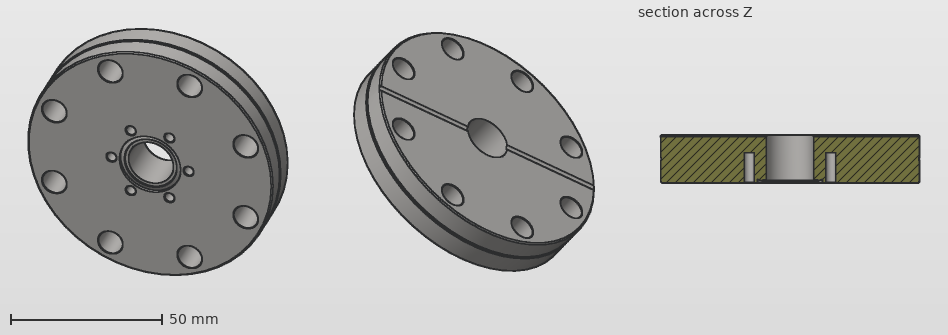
import cadquery as cq
import math

flange_diameter = 85.7
thickness = 16.0
front_y = -thickness / 2
back_y = thickness / 2
rim_chamfer = 0.5

rim_groove_width = 0.8
rim_groove_depth = 0.2

bore_diameter = 15.7
recess_diameter = 21.4
knife_diameter = 18.4
knife_root_diameter = 18.0
knife_tip_depth = 0.65
recess_floor_depth = 1.0
knife_slope = math.radians(20)

bolt_count = 8
bolt_circle = 72.4
bolt_hole_diameter = 8.4
bolt_chamfer = 0.2
bolt_start_angle = 360 / bolt_count / 2

tap_count = 6
tap_circle = 27.0
tap_hole_diameter = 3.24
tap_depth = 10.0
tap_chamfer = 0.25

leak_groove_width = 2.0
leak_groove_depth = 0.6

cut_margin = 1.0


def revolve_profile(points):
    """Revolve a closed (radius, y) outline about the Y axis."""
    return cq.Workplane("XY").polyline(points).close().revolve(360, (0, 0, 0), (0, 1, 0))


def flange_disc():
    radius = flange_diameter / 2
    disc = cq.Workplane("XZ", origin=(0, back_y, 0)).circle(radius).extrude(thickness)
    return disc.faces("<Y or >Y").edges().chamfer(rim_chamfer)


def rim_groove():
    rim = flange_diameter / 2
    floor = rim - rim_groove_depth
    half_width = rim_groove_width / 2
    return revolve_profile(
        [
            (rim, -half_width),
            (floor, -half_width),
            (floor, half_width),
            (rim, half_width),
        ]
    )


def bore_and_seal_recess():
    bore = bore_diameter / 2
    wall = recess_diameter / 2
    knife = knife_diameter / 2
    floor_y = front_y + recess_floor_depth
    tip_y = front_y + knife_tip_depth
    slope_end_y = tip_y + (wall - knife) * math.tan(knife_slope)
    return revolve_profile(
        [
            (0, front_y - cut_margin),
            (wall, front_y - cut_margin),
            (wall, slope_end_y),
            (knife, tip_y),
            (knife_root_diameter / 2, floor_y),
            (bore, floor_y),
            (bore, back_y + cut_margin),
            (0, back_y + cut_margin),
        ]
    )


def place_on_circle(cutter, count, circle_diameter, start_angle):
    """Union of copies of a cutter lying on the Y axis, spread around a circle."""
    copies = cq.Workplane("XY")
    for index in range(count):
        angle = start_angle + index * 360 / count
        moved = cutter.translate((circle_diameter / 2, 0, 0))
        copies = copies.add(moved.rotate((0, 0, 0), (0, 1, 0), angle))
    return copies.combine()


def bolt_holes():
    hole = bolt_hole_diameter / 2
    mouth = hole + bolt_chamfer
    cutter = revolve_profile(
        [
            (0, front_y),
            (mouth, front_y),
            (hole, front_y + bolt_chamfer),
            (hole, back_y - bolt_chamfer),
            (mouth, back_y),
            (0, back_y),
        ]
    )
    return place_on_circle(cutter, bolt_count, bolt_circle, bolt_start_angle)


def tap_holes():
    hole = tap_hole_diameter / 2
    mouth = hole + tap_chamfer
    bottom_y = front_y + tap_depth
    cutter = revolve_profile(
        [
            (0, front_y),
            (mouth, front_y),
            (hole, front_y + tap_chamfer),
            (hole, bottom_y),
            (0, bottom_y),
        ]
    )
    return place_on_circle(cutter, tap_count, tap_circle, 0)


def leak_groove():
    half_width = leak_groove_width / 2
    floor_y = back_y - leak_groove_depth
    half_length = flange_diameter / 2 + cut_margin
    outline = (
        cq.Workplane("YZ")
        .moveTo(back_y, -half_width)
        .threePointArc((floor_y, 0), (back_y, half_width))
        .close()
    )
    return outline.extrude(half_length, both=True)


result = flange_disc()
result = result.cut(rim_groove())
result = result.cut(bore_and_seal_recess())
result = result.cut(bolt_holes())
result = result.cut(tap_holes())
result = result.cut(leak_groove())